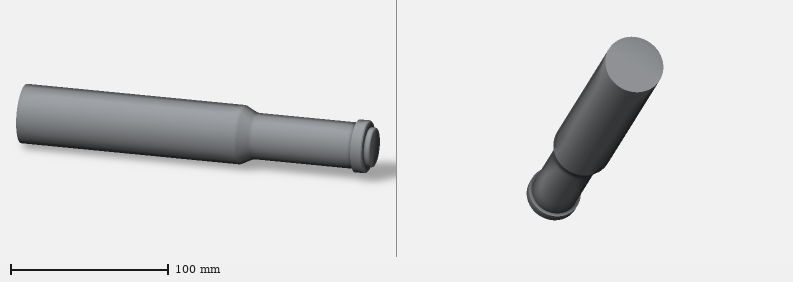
import cadquery as cq

total_length = 231.7
body_diameter = 38.0
neck_diameter = 29.7
collar_diameter = 33.8
tip_diameter = 25.5

taper_start = 144.5
taper_end = 153.0
collar_start = 220.0
collar_end = 227.5

taper_blend_radius = 3.0
collar_chamfer = 0.7
tip_fillet = 1.2


def cylinder(start, end, diameter):
    """Solid round section between two stations on the X axis."""
    return cq.Workplane("YZ", origin=(start, 0, 0)).circle(diameter / 2).extrude(end - start)


def tapered_shaft():
    """Body, conical taper and neck, with both taper edges blended."""
    shaft = (
        cq.Workplane("XY")
        .lineTo(0, body_diameter / 2)
        .lineTo(taper_start, body_diameter / 2)
        .lineTo(taper_end, neck_diameter / 2)
        .lineTo(collar_start, neck_diameter / 2)
        .lineTo(collar_start, 0)
        .close()
        .revolve(360, (0, 0, 0), (1, 0, 0))
    )
    middle = cq.selectors.BoxSelector(
        (taper_start - 2.3, -body_diameter, -body_diameter),
        (taper_end + 2.3, body_diameter, body_diameter),
    )
    return shaft.edges(middle).edges("%CIRCLE").fillet(taper_blend_radius)


collar = cylinder(collar_start, collar_end, collar_diameter).faces(">X").edges().chamfer(collar_chamfer)
tip = cylinder(collar_end, total_length, tip_diameter).edges("%CIRCLE").fillet(tip_fillet)

result = tapered_shaft().union(collar).union(tip)